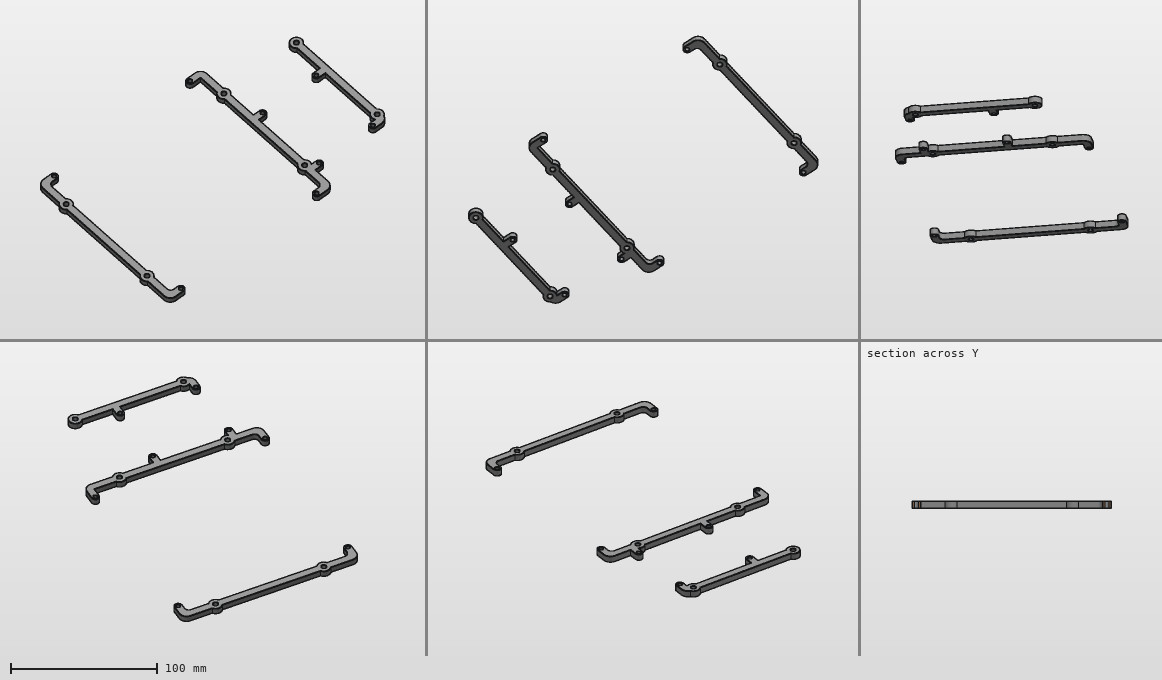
import cadquery as cq
import math

overall_length = 136.0
overall_depth = 220.0
thickness = 5.0

bar_width = 6.0
boss_diameter = 10.0
boss_hole_diameter = 3.3
tip_hole_diameter = 2.6
outer_corner_radius = 5.7
inner_corner_radius = 3.0
edge_chamfer = 0.4
chamfer_angle = 45

boss_spacing = 83.0
boss_x = boss_spacing / 2
arm_x = (overall_length - bar_width) / 2
near_tab_x = -11.5
far_tab_x = 46.6

arm_reach = 10.0
tab_reach = 8.5

rear_y = (overall_depth - boss_diameter) / 2
front_y = -rear_y
rear_to_middle = 66.2
middle_y = rear_y - rear_to_middle

pick_margin = 0.2


def bar(start_x, end_x, y):
    """Straight bar along X, with square ends."""
    return (
        cq.Workplane("XY")
        .center((start_x + end_x) / 2, y)
        .rect(end_x - start_x, bar_width)
        .extrude(thickness)
    )


def finger(x, y, reach):
    """Arm or tab from a bar's centre line to a round tip; a negative reach points to -Y."""
    shank = (
        cq.Workplane("XY")
        .center(x, y + reach / 2)
        .rect(bar_width, abs(reach))
        .extrude(thickness)
    )
    tip = cq.Workplane("XY").center(x, y + reach).circle(bar_width / 2).extrude(thickness)
    return shank.union(tip)


def round_corner(body, x, y, radius):
    """Fillet the upright edge that stands at (x, y)."""
    picker = cq.selectors.BoxSelector(
        (x - pick_margin, y - pick_margin, -pick_margin),
        (x + pick_margin, y + pick_margin, thickness + pick_margin),
    )
    return body.edges("|Z").edges(picker).fillet(radius)


def round_outer_corner(body, x, y, reach):
    """Round the outside of the bend between a bar's end and the finger at x."""
    half_x = math.copysign(bar_width / 2, x)
    half_y = math.copysign(bar_width / 2, reach)
    return round_corner(body, x + half_x, y - half_y, outer_corner_radius)


def round_inner_corner(body, x, y, reach):
    """Round the inside of the bend between a bar's end and the finger at x."""
    half_x = math.copysign(bar_width / 2, x)
    half_y = math.copysign(bar_width / 2, reach)
    return round_corner(body, x - half_x, y + half_y, inner_corner_radius)


def chamfer_rims(body):
    """Break all edges of the top and bottom faces."""
    return body.faces("<Z or >Z").chamfer(edge_chamfer)


def add_bosses(body, y):
    """Two round bosses on the bar's centre line."""
    for x in (-boss_x, boss_x):
        boss = cq.Workplane("XY").center(x, y).circle(boss_diameter / 2).extrude(thickness)
        body = body.union(chamfer_rims(boss))
    return body


def drill(body, points, diameter):
    """Through holes at the given points, with chamfered mouths."""
    radius = diameter / 2
    mouth_radius = radius + edge_chamfer
    for x, y in points:
        bore = cq.Workplane("XY").center(x, y).circle(radius).extrude(thickness)
        mouth = cq.Workplane("XY").center(x, y).circle(mouth_radius)
        lower_mouth = mouth.extrude(edge_chamfer, taper=chamfer_angle)
        upper_mouth = lower_mouth.mirror("XY").translate((0, 0, thickness))
        body = body.cut(bore).cut(lower_mouth).cut(upper_mouth)
    return body


def finish_strap(body, y, tips):
    """Chamfer the strap, add the bosses, then drill the boss holes and the tip holes."""
    body = add_bosses(chamfer_rims(body), y)
    body = drill(body, [(-boss_x, y), (boss_x, y)], boss_hole_diameter)
    return drill(body, tips, tip_hole_diameter)


def make_rear_strap():
    """Short strap with two tabs; the far tab forms its bent end."""
    y = rear_y
    body = bar(-boss_x, far_tab_x + bar_width / 2, y)
    for x in (near_tab_x, far_tab_x):
        body = body.union(finger(x, y, -tab_reach))
    body = round_outer_corner(body, far_tab_x, y, -tab_reach)
    tips = [(x, y - tab_reach) for x in (near_tab_x, far_tab_x)]
    return finish_strap(body, y, tips)


def make_middle_strap():
    """Long strap with end arms to -Y and two tabs to +Y."""
    y = middle_y
    body = bar(-overall_length / 2, overall_length / 2, y)
    for x in (-arm_x, arm_x):
        body = body.union(finger(x, y, -arm_reach))
        body = round_outer_corner(body, x, y, -arm_reach)
    body = round_inner_corner(body, arm_x, y, -arm_reach)
    for x in (near_tab_x, far_tab_x):
        body = body.union(finger(x, y, tab_reach))
    arm_tips = [(x, y - arm_reach) for x in (-arm_x, arm_x)]
    tab_tips = [(x, y + tab_reach) for x in (near_tab_x, far_tab_x)]
    return finish_strap(body, y, arm_tips + tab_tips)


def make_front_strap():
    """Long strap with end arms to +Y."""
    y = front_y
    body = bar(-overall_length / 2, overall_length / 2, y)
    for x in (-arm_x, arm_x):
        body = body.union(finger(x, y, arm_reach))
        body = round_outer_corner(body, x, y, arm_reach)
        body = round_inner_corner(body, x, y, arm_reach)
    tips = [(x, y + arm_reach) for x in (-arm_x, arm_x)]
    return finish_strap(body, y, tips)


rear_strap = make_rear_strap()
middle_strap = make_middle_strap()
front_strap = make_front_strap()

result = cq.Compound.makeCompound([rear_strap.val(), middle_strap.val(), front_strap.val()])